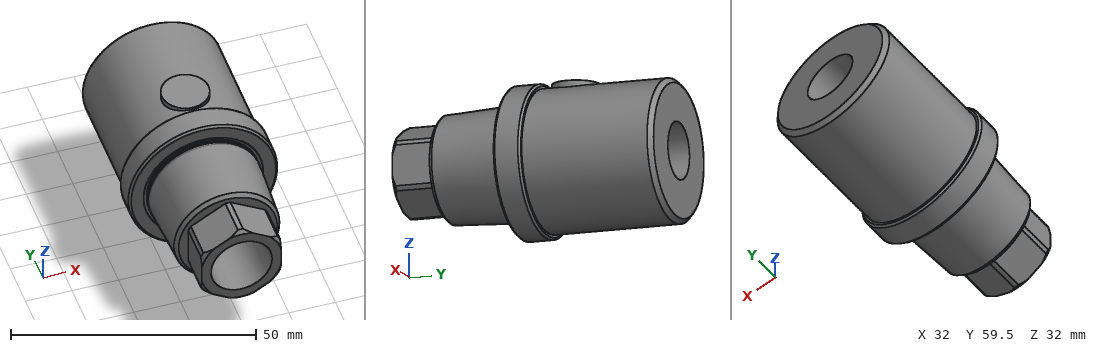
import cadquery as cq
import math

TOTAL_LENGTH = 59.5

HEX_LENGTH = 9.0
HEX_FLATS = 17.0
HEX_CORNER_RADIUS = 9.5
HEX_CHAMFER = 0.8

SEAT_LENGTH = 16.0
SEAT_RADIUS = 12.15
SEAT_TAPER = 0.056
SEAT_CHAMFER = 0.8
LAND_LENGTH = 0.4

NECK_RADIUS = 11.95
NECK_TO_COLLAR = 0.65
NECK_WIDTH = 0.55

COLLAR_LENGTH = 6.0
COLLAR_RADIUS = 16.0
COLLAR_CHAMFER = 0.5
RECESS_RADIUS = 12.85
RECESS_DEPTH = 0.3

BODY_RADIUS = 15.0
BODY_CHAMFER = 1.0

BORE_RADIUS = 6.55
INNER_BORE_RADIUS = 6.0

PIN_RADIUS = 5.0
PIN_FROM_REAR = 22.5
PIN_TOP = 15.5
PIN_CONE_START = 5.55
PIN_TIP = 3.5
PIN_TIP_RADIUS = 3.05

seat_start = HEX_LENGTH
collar_start = seat_start + SEAT_LENGTH
neck_start = collar_start - NECK_TO_COLLAR
neck_end = neck_start + NECK_WIDTH
land_start = neck_start - LAND_LENGTH
body_start = collar_start + COLLAR_LENGTH
bore_step = collar_start


def revolve_profile(points):
    """Turn (radius, y) points into a solid around the Y axis."""
    return cq.Workplane("XY").polyline(points).close().revolve(360, (0, 0, 0), (0, 1, 0))


def turned_cylinder(radius, start, end):
    return revolve_profile([(0, start), (radius, start), (radius, end), (0, end)])


def make_turned_body():
    seat_rim_y = seat_start + SEAT_CHAMFER
    seat_rim_radius = SEAT_RADIUS - SEAT_TAPER * (land_start - seat_rim_y)
    neck_bevel = SEAT_RADIUS - NECK_RADIUS
    recess_floor = collar_start + RECESS_DEPTH
    return revolve_profile([
        (0, seat_start),
        (seat_rim_radius - SEAT_CHAMFER, seat_start),
        (seat_rim_radius, seat_rim_y),
        (SEAT_RADIUS, land_start),
        (SEAT_RADIUS, neck_start),
        (NECK_RADIUS, neck_start + neck_bevel),
        (NECK_RADIUS, neck_end - neck_bevel),
        (SEAT_RADIUS, neck_end),
        (SEAT_RADIUS, recess_floor),
        (RECESS_RADIUS, recess_floor),
        (RECESS_RADIUS, collar_start),
        (COLLAR_RADIUS - COLLAR_CHAMFER, collar_start),
        (COLLAR_RADIUS, collar_start + COLLAR_CHAMFER),
        (COLLAR_RADIUS, body_start - COLLAR_CHAMFER),
        (COLLAR_RADIUS - COLLAR_CHAMFER, body_start),
        (BODY_RADIUS, body_start),
        (BODY_RADIUS, TOTAL_LENGTH - BODY_CHAMFER),
        (BODY_RADIUS - BODY_CHAMFER, TOTAL_LENGTH),
        (0, TOTAL_LENGTH),
    ])


def make_hexagon():
    """Hexagon with flats facing +X and -X, its corners rounded and its end chamfered."""
    across_corners = HEX_FLATS / math.cos(math.radians(30))
    prism = (
        cq.Workplane("XZ")
        .transformed(rotate=(0, 0, 30))
        .polygon(6, across_corners)
        .extrude(-HEX_LENGTH)
    )
    envelope = revolve_profile([
        (0, 0),
        (HEX_CORNER_RADIUS - HEX_CHAMFER, 0),
        (HEX_CORNER_RADIUS, HEX_CHAMFER),
        (HEX_CORNER_RADIUS, HEX_LENGTH),
        (0, HEX_LENGTH),
    ])
    return prism.intersect(envelope)


def make_pin():
    pin_y = TOTAL_LENGTH - PIN_FROM_REAR
    return (
        cq.Workplane("XZ")
        .polyline([
            (0, PIN_TIP),
            (PIN_TIP_RADIUS, PIN_TIP),
            (PIN_RADIUS, PIN_CONE_START),
            (PIN_RADIUS, PIN_TOP),
            (0, PIN_TOP),
        ])
        .close()
        .revolve(360, (0, 0, 0), (0, 1, 0))
        .translate((0, pin_y, 0))
    )


front_bore = turned_cylinder(BORE_RADIUS, 0, bore_step)
inner_bore = turned_cylinder(INNER_BORE_RADIUS, 0, TOTAL_LENGTH)

result = (
    make_turned_body()
    .union(make_hexagon())
    .cut(front_bore)
    .cut(inner_bore)
    .union(make_pin())
)